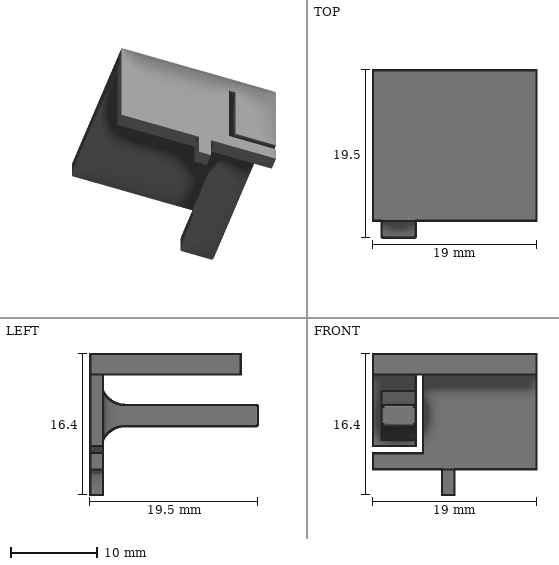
import cadquery as cq

width = 19.0
slab_depth = 17.5
slab_thickness = 2.4

wall_thickness = 1.5
wall_height = 11.0
pad_width = 5.0
pad_height = 8.3
gap = 0.8

lever_left = 1.0
lever_width = pad_width - lever_left
lever_length = 18.0
lever_thickness = 2.5
lever_center_drop = 4.75
flare_length = 2.5
flare_rise = 1.6
tip_radius = 0.3

peg_left = 8.0
peg_width = 1.5
peg_height = 3.0

wall_front = -wall_thickness


def box(x_min, x_max, y_min, y_max, z_min, z_max):
    """Solid block between the given limits."""
    block = cq.Workplane("XY").box(x_max - x_min, y_max - y_min, z_max - z_min, centered=False)
    return block.translate((x_min, y_min, z_min))


def make_slab():
    """Flat cover over the whole part."""
    return box(0, width, -slab_depth, 0, 0, slab_thickness)


def make_pad():
    """Corner plate that carries the lever, free along its right and lower edges."""
    return box(0, pad_width, wall_front, 0, -pad_height, 0)


def make_main_wall():
    """Rear wall with its upper left corner cut away around the pad."""
    wall = box(0, width, wall_front, 0, -wall_height, 0)
    clearance = box(0, pad_width + gap, wall_front, 0, -pad_height - gap, 0)
    return wall.cut(clearance)


def make_lever():
    """Straight bar with a rounded tip and a root that flares above and below in arcs."""
    half = lever_thickness / 2
    root_half = half + flare_rise
    flare_radius = (flare_length**2 + flare_rise**2) / (2 * flare_rise)
    flare_start = wall_front - flare_length
    tip = wall_front - lever_length
    arc_mid_y = wall_front - flare_length / 2
    arc_mid_rise = flare_radius - (flare_radius**2 - (flare_length / 2) ** 2) ** 0.5
    profile = (
        cq.Workplane("YZ")
        .moveTo(wall_front, root_half)
        .threePointArc((arc_mid_y, half + arc_mid_rise), (flare_start, half))
        .lineTo(tip, half)
        .lineTo(tip, -half)
        .lineTo(flare_start, -half)
        .threePointArc((arc_mid_y, -half - arc_mid_rise), (wall_front, -root_half))
        .close()
    )
    lever = profile.extrude(lever_width).faces("<Y").edges().fillet(tip_radius)
    return lever.translate((lever_left, 0, -lever_center_drop))


def make_peg():
    """Short square peg under the main wall."""
    return box(peg_left, peg_left + peg_width, wall_front, 0, -wall_height - peg_height, -wall_height)


slab = make_slab()
pad = make_pad()
main_wall = make_main_wall()
lever = make_lever()
peg = make_peg()

result = cq.Compound.makeCompound([slab.val(), pad.val(), main_wall.val(), lever.val(), peg.val()])